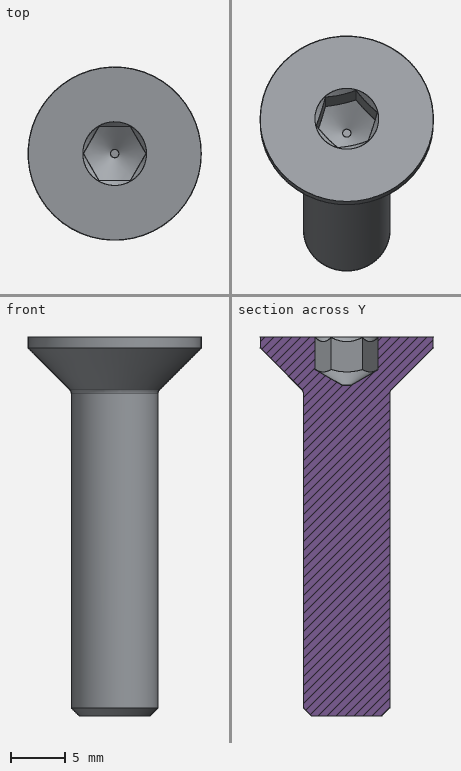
import cadquery as cq
import math

length = 35.0
head_diameter = 16.0
shank_diameter = 8.0

rim_height = 1.0
neck_fillet = 0.52
tip_chamfer = 0.77

socket_width = 5.0
socket_depth = 3.0
mouth_diameter = 5.88
floor_flat_diameter = 0.77
floor_slope = 30.0
mouth_slope = 45.0

head_radius = head_diameter / 2
shank_radius = shank_diameter / 2
socket_corner_diameter = socket_width / math.cos(math.radians(30))


def make_body():
    """Revolve the head with its 45 degree underside, the shank and its chamfered tip."""
    rim_bottom = length - rim_height
    neck_z = rim_bottom - (head_radius - shank_radius)
    body = (
        cq.Workplane("XZ")
        .moveTo(0, 0)
        .lineTo(shank_radius - tip_chamfer, 0)
        .lineTo(shank_radius, tip_chamfer)
        .lineTo(shank_radius, neck_z)
        .lineTo(head_radius, rim_bottom)
        .lineTo(head_radius, length)
        .lineTo(0, length)
        .close()
        .revolve(360, (0, 0, 0), (0, 1, 0))
    )
    neck_edge = cq.selectors.BoxSelector(
        (-head_radius, -head_radius, neck_z - rim_height),
        (head_radius, head_radius, neck_z + rim_height),
        boundingbox=False,
    )
    return body.edges("%CIRCLE").edges(neck_edge).fillet(neck_fillet)


def make_cone(top_z, top_diameter, bottom_diameter, slope):
    """Downward-narrowing cone frustum whose wide face lies at top_z."""
    top_radius = top_diameter / 2
    bottom_radius = bottom_diameter / 2
    height = (top_radius - bottom_radius) * math.tan(math.radians(slope))
    return cq.Workplane(
        cq.Solid.makeCone(bottom_radius, top_radius, height, cq.Vector(0, 0, top_z - height))
    )


def make_socket():
    """Hexagonal pocket with corners on X, its conical floor and its conical mouth."""
    floor_z = length - socket_depth
    floor = make_cone(floor_z, socket_corner_diameter, floor_flat_diameter, floor_slope)
    straight_part = cq.Workplane("XY").workplane(offset=floor_z).circle(head_radius).extrude(socket_depth)
    prism = (
        cq.Workplane("XY")
        .workplane(offset=length)
        .polygon(6, socket_corner_diameter)
        .extrude(-2 * socket_depth)
    )
    pocket = prism.intersect(straight_part.union(floor))
    mouth = make_cone(length, mouth_diameter, socket_width, mouth_slope)
    return pocket.union(mouth)


result = make_body().cut(make_socket())